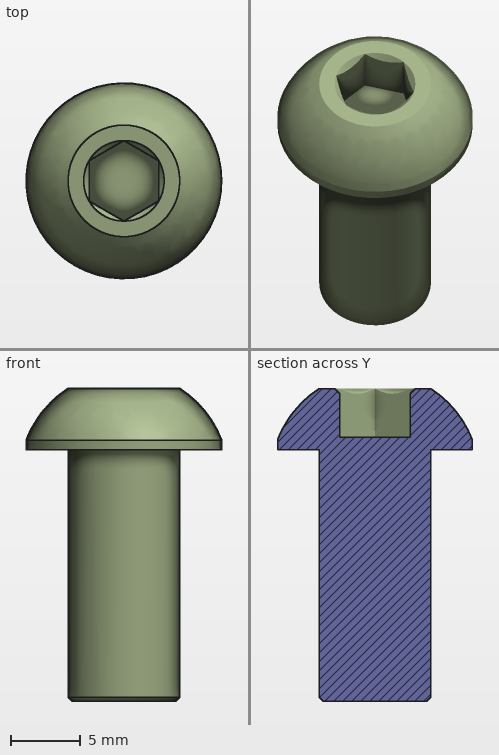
import cadquery as cq
import math

total_length = 22.4
head_diameter = 14.0
head_height = 4.4
rim_height = 0.7
crown_flat_diameter = 8.0
dome_radius = 7.65

shank_diameter = 8.0
tip_chamfer = 0.3

socket_across_flats = 5.0
socket_depth = 3.5
countersink_angle = 45.0

head_bottom = total_length - head_height
rim_top = head_bottom + rim_height
head_radius = head_diameter / 2
crown_radius = crown_flat_diameter / 2
socket_across_corners = socket_across_flats / math.cos(math.radians(30))


def make_head():
    """Button head: a short cylindrical rim under a domed crown with a flat top."""
    run = head_radius - crown_radius
    rise = total_length - rim_top
    chord = math.hypot(run, rise)
    bulge = dome_radius - math.sqrt(dome_radius**2 - (chord / 2) ** 2)
    dome_middle = (
        (head_radius + crown_radius) / 2 + bulge * rise / chord,
        (rim_top + total_length) / 2 + bulge * run / chord,
    )
    return (
        cq.Workplane("XZ")
        .moveTo(0, head_bottom)
        .lineTo(head_radius, head_bottom)
        .lineTo(head_radius, rim_top)
        .threePointArc(dome_middle, (crown_radius, total_length))
        .lineTo(0, total_length)
        .close()
        .revolve(360, (0, 0, 0), (0, 1, 0))
    )


def make_shank():
    """Plain shank with a chamfered tip."""
    return (
        cq.Workplane("XY")
        .circle(shank_diameter / 2)
        .extrude(head_bottom)
        .faces("<Z")
        .chamfer(tip_chamfer)
    )


def make_socket():
    """Hexagon pocket with corners on the Y axis and a conical lead-in."""
    hexagon = (
        cq.Workplane("XY", origin=(0, 0, total_length))
        .transformed(rotate=(0, 0, 90))
        .polygon(6, socket_across_corners)
        .extrude(-socket_depth)
    )
    mouth_radius = socket_across_corners / 2
    cone_depth = mouth_radius * math.tan(math.radians(countersink_angle))
    lead_in = (
        cq.Workplane("XZ")
        .moveTo(0, total_length)
        .lineTo(mouth_radius, total_length)
        .lineTo(0, total_length - cone_depth)
        .close()
        .revolve(360, (0, 0, 0), (0, 1, 0))
    )
    return hexagon.union(lead_in)


result = make_head().union(make_shank()).cut(make_socket())